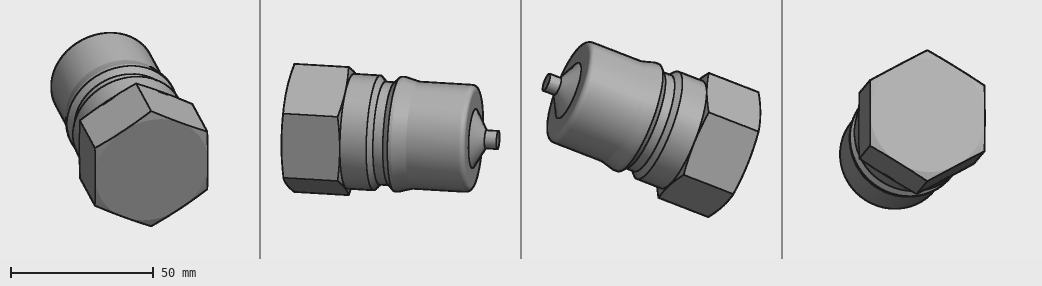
import cadquery as cq
import math

pin_end = 4.25
nose_face = 8.5
body_end = 29.2
collar_start = 34.3
collar_end = 35.6
groove_start = 37.7
groove_end = 41.2
shoulder_start = 43.2
hex_start = 52.6
total_length = 73.45

pin_radius = 6.5 / 2
cone_base_radius = 10.4
body_radius = 37.75 / 2
collar_radius = 40.5 / 2
groove_radius = 36.3 / 2
nose_fillet = 2.0

hex_across_flats = 41.0
hex_across_corners = hex_across_flats / math.cos(math.pi / 6)
hex_chamfer_length = 0.7


def revolve_about_x(profile):
    """Turn a closed XY profile a full revolution about the X axis."""
    return profile.close().revolve(360, (0, 0, 0), (1, 0, 0))


def turned_body():
    """Pin, cone, rounded body, flared collar, groove and shoulder."""
    arc_offset = nose_fillet * (1 - math.sqrt(0.5))
    profile = (
        cq.Workplane("XY")
        .moveTo(0, 0)
        .lineTo(0, pin_radius)
        .lineTo(pin_end, pin_radius)
        .lineTo(nose_face, cone_base_radius)
        .lineTo(nose_face, body_radius - nose_fillet)
        .threePointArc(
            (nose_face + arc_offset, body_radius - arc_offset),
            (nose_face + nose_fillet, body_radius),
        )
        .lineTo(body_end, body_radius)
        .lineTo(collar_start, collar_radius)
        .lineTo(collar_end, collar_radius)
        .lineTo(groove_start, groove_radius)
        .lineTo(groove_end, groove_radius)
        .lineTo(shoulder_start, collar_radius)
        .lineTo(hex_start, collar_radius)
        .lineTo(hex_start, 0)
    )
    return revolve_about_x(profile)


def chamfered_hexagon():
    """Hexagonal prism whose corners are bevelled at both ends."""
    prism = (
        cq.Workplane("YZ", origin=(hex_start, 0, 0))
        .transformed(rotate=(0, 0, 90))
        .polygon(6, hex_across_corners)
        .extrude(total_length - hex_start)
    )
    flat_radius = hex_across_flats / 2
    corner_radius = hex_across_corners / 2
    envelope = (
        cq.Workplane("XY")
        .moveTo(hex_start, 0)
        .lineTo(hex_start, flat_radius)
        .lineTo(hex_start + hex_chamfer_length, corner_radius)
        .lineTo(total_length - hex_chamfer_length, corner_radius)
        .lineTo(total_length, flat_radius)
        .lineTo(total_length, 0)
    )
    return prism.intersect(revolve_about_x(envelope))


result = turned_body().union(chamfered_hexagon())